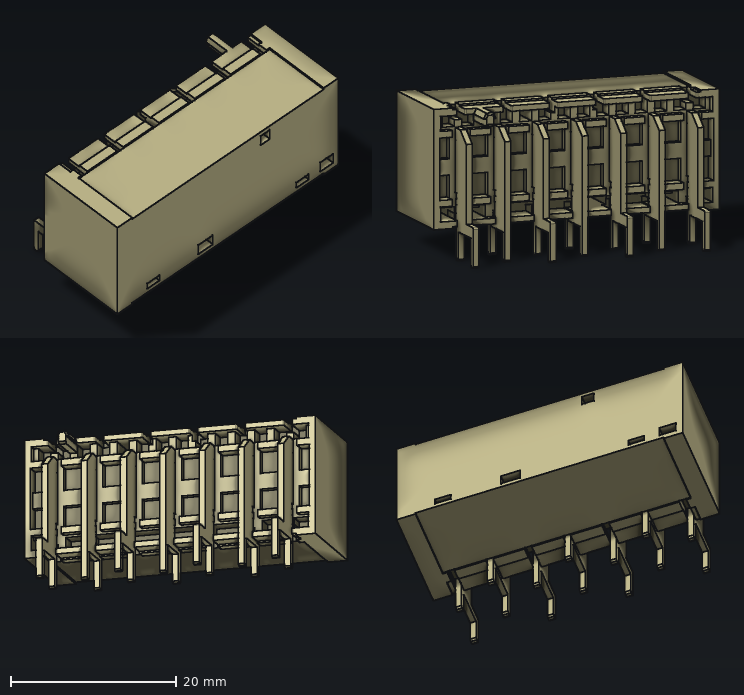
import cadquery as cq

length = 37.0
depth = 12.85
height = 14.87
panel_half_length = 16.02
panel_drop = 0.22
rail_front_x = 2.0
rail_back_x = 3.35

wall_x = 1.0
recess_half_length = 17.6
plate_thickness = 0.92
recess_top = height - plate_thickness
side_relief_half_length = 17.72

pin_count = 7
pitch = 5.0
pin_rows = [(i - (pin_count - 1) / 2) * pitch for i in range(pin_count)]

tab_count = 5
tab_pitch = 6.0
top_gap_width = 1.0
pin_gap_width = 0.92
gap_depth = 1.65
gap_corner_radius = 0.15

window_width = 2.65
window_near = 1.0
window_far = 3.85
bar_far = 4.65
window_end_x = 1.85

cell_count = 14
cell_pitch = pitch / 2
cell_width = 1.55
cell_height = 1.55
cell_end_x = 3.05
open_cell_index = 9
low_hole_width = 2.07
low_hole_y = 2.5 * pitch
low_slit_height = 0.9
end_hole_inner_y = 15.45
trough_end_y = -2.5

key_y = 12.55
key_tip_x = -3.6
key_top = height - panel_drop
key_shoulder = 13.95
key_bottom = 13.0
key_top_width = 0.92
key_shoulder_width = 1.55
key_tip_chamfer = 0.3
key_top_chamfer = 0.22

pin_thickness = 0.78
leg_width = 0.8
leg_bottom = -4.05
leg_tip_chamfer = 0.22
blade_rear_x = -2.8
blade_top = 12.3
blade_slope_x = -0.75
blade_slope_z = 10.85
blade_front_x = wall_x
foot_top = 1.0
foot_bottom = -0.45
foot_corner_radius = 0.2
tang_bottom = 4.2
tang_top = 10.7
relief_x = 0.55
relief_bottom = 3.5
heel_x = 0.85
heel_bottom = 2.78
lower_front_x = 0.7
outer_leg_x = (-5.15, lower_front_x - leg_width)
inner_leg_x = (blade_rear_x, 2.22)


def block(x0, x1, y0, y1, z0, z1):
    """Box between two corners."""
    return cq.Workplane("XY").box(x1 - x0, y1 - y0, z1 - z0, centered=False).translate((x0, y0, z0))


def centred_block(x0, x1, y, width, z0, z1):
    """Box of a given width centred on a y position."""
    return block(x0, x1, y - width / 2, y + width / 2, z0, z1)


def lower_panels(body):
    """Lower the top and bottom faces on both sides of the rail."""
    for x0, x1 in ((0, rail_front_x), (rail_back_x, depth)):
        for z0 in (0, height - panel_drop):
            body = body.cut(
                block(x0, x1, -panel_half_length, panel_half_length, z0, z0 + panel_drop)
            )
    return body


def cut_recess(body):
    """Rear recess, with the side walls relieved between the bars."""
    body = body.cut(
        block(0, wall_x, -recess_half_length, recess_half_length, plate_thickness, recess_top)
    )
    return body.cut(
        block(
            0, wall_x, -side_relief_half_length, side_relief_half_length,
            height / 2 - window_far, height / 2 + window_far,
        )
    )


def gap_cutter(y, width, z0, z1):
    """Slot through a plate whose two entry corners are rounded."""
    r = gap_corner_radius
    half = width / 2
    return (
        cq.Workplane("XY", origin=(0, y, z0))
        .moveTo(0, -half - r)
        .radiusArc((r, -half), r)
        .lineTo(rail_back_x, -half)
        .lineTo(rail_back_x, half)
        .lineTo(r, half)
        .radiusArc((0, half + r), r)
        .close()
        .extrude(z1 - z0)
    )


def cut_gaps(body):
    """Gaps between the top tabs and around the pins in the bottom plate."""
    for i in range(tab_count + 1):
        y = (i - tab_count / 2) * tab_pitch
        body = body.cut(gap_cutter(y, top_gap_width, height - gap_depth, height))
    for y in pin_rows:
        body = body.cut(gap_cutter(y, pin_gap_width, 0, gap_depth))
    return body


def add_windows(body):
    """Two rows of blind windows and their cross bars; the end ones stop at the side walls."""
    for i in range(pin_count + 1):
        y = (i - pin_count / 2) * pitch
        y0 = max(y - window_width / 2, -side_relief_half_length)
        y1 = min(y + window_width / 2, side_relief_half_length)
        for side in (-1, 1):
            near, far, outer = (height / 2 + side * d for d in (window_near, window_far, bar_far))
            body = body.cut(block(wall_x, window_end_x, y0, y1, min(near, far), max(near, far)))
            body = body.union(block(0, wall_x, y0, y1, min(far, outer), max(far, outer)))
    return body


def cut_cells(body):
    """Row of square cells under the top plate, one open to the front, each with a plain end wall."""
    for i in range(cell_count):
        y = (i - (cell_count - 1) / 2) * cell_pitch
        end_x = depth if i == open_cell_index else cell_end_x
        z0 = recess_top - cell_height
        body = body.union(centred_block(cell_end_x, rail_back_x, y, cell_width, z0, recess_top))
        body = body.cut(centred_block(wall_x, end_x, y, cell_width, z0, recess_top))
    return body


def cut_low_openings(body):
    """Openings along the bottom plate: blind troughs, through holes and slits."""
    z0 = plate_thickness
    z1 = plate_thickness + cell_height
    blind_spans = (
        (-recess_half_length, -end_hole_inner_y),
        (pin_rows[1], pin_rows[2]),
        (trough_end_y, pin_rows[5]),
    )
    through_spans = (
        (pin_rows[2], trough_end_y),
        (end_hole_inner_y, recess_half_length),
    )
    for y0, y1 in blind_spans:
        body = body.cut(block(wall_x, cell_end_x, y0, y1, z0, z1))
    for y0, y1 in through_spans:
        body = body.cut(block(wall_x, depth, y0, y1, z0, z1))
    for y in (-low_hole_y, low_hole_y):
        body = body.cut(centred_block(wall_x, cell_end_x, y, low_hole_width, z0, z1))
        body = body.cut(centred_block(wall_x, depth, y, low_hole_width, z0, z0 + low_slit_height))
    return body


def cut_tang_slots(body):
    """Slots in the recess floor that hold the pin tangs."""
    for y in pin_rows:
        body = body.cut(
            centred_block(wall_x, cell_end_x, y, pin_thickness, tang_bottom, tang_top)
        )
    return body


def make_key():
    """Polarising key with a narrow top, sloped flanks and a chamfered tip."""
    top = key_top_width / 2
    shoulder = key_shoulder_width / 2
    key = (
        cq.Workplane("YZ", origin=(key_tip_x, key_y, 0))
        .polyline([
            (-top, key_top),
            (top, key_top),
            (shoulder, key_shoulder),
            (top, key_shoulder),
            (top, key_bottom),
            (-top, key_bottom),
            (-top, key_shoulder),
            (-shoulder, key_shoulder),
        ])
        .close()
        .extrude(wall_x - key_tip_x)
    )
    key = key.faces("<X").edges("<Z").chamfer(key_tip_chamfer)
    return key.faces("<X").edges(">Z or (not (|Y or |Z))").chamfer(key_top_chamfer)


def make_housing():
    """Housing with its openings, window bars and key."""
    body = block(0, depth, -length / 2, length / 2, 0, height)
    body = lower_panels(body)
    body = cut_recess(body)
    body = cut_gaps(body)
    body = cut_cells(body)
    body = cut_low_openings(body)
    body = cut_tang_slots(body)
    body = add_windows(body)
    return body.union(make_key())


def make_pin(y, leg_x):
    """Flat pin: a blade with a tang into the housing, on a foot with two legs."""
    y_face = y + pin_thickness / 2
    foot_end_x = leg_x[1] + leg_width
    blade = (
        cq.Workplane("XZ", origin=(0, y_face, 0))
        .polyline([
            (blade_rear_x, foot_bottom),
            (lower_front_x, foot_bottom),
            (lower_front_x, heel_bottom),
            (heel_x, heel_bottom),
            (heel_x, relief_bottom),
            (relief_x, relief_bottom),
            (relief_x, tang_bottom),
            (cell_end_x, tang_bottom),
            (cell_end_x, tang_top),
            (blade_front_x, tang_top),
            (blade_front_x, blade_top),
            (blade_slope_x, blade_top),
            (blade_rear_x, blade_slope_z),
        ])
        .close()
        .extrude(pin_thickness)
    )
    foot = centred_block(leg_x[0], foot_end_x, y, pin_thickness, foot_bottom, foot_top)
    if leg_x[0] < blade_rear_x:
        foot = foot.faces("<X").edges(">Z").fillet(foot_corner_radius)
    pin = blade.union(foot)
    for x in leg_x:
        leg = centred_block(x, x + leg_width, y, pin_thickness, leg_bottom, foot_bottom)
        pin = pin.union(leg.faces("<Z").edges("|Y").chamfer(leg_tip_chamfer))
    return pin


housing = make_housing()
pins = [
    make_pin(y, outer_leg_x if i % 2 == 0 else inner_leg_x) for i, y in enumerate(pin_rows)
]

result = cq.Compound.makeCompound([housing.solids().val(), *[pin.solids().val() for pin in pins]])